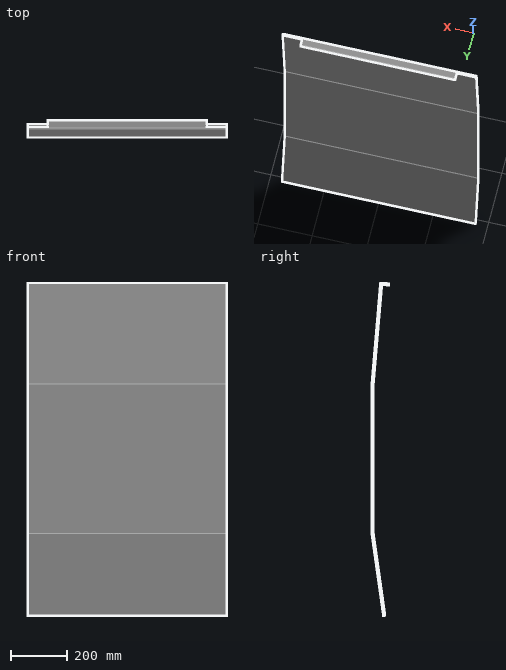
import cadquery as cq
import math

width = 711.0
height = 1189.0
depth = 62.0
thickness = 7.0
lower_bend_z = 294.0
upper_bend_z = 827.0
bottom_setback = 42.0
top_setback = 31.0
lip_inset = 71.0
fold_radius = 4.0
tip_radius = 2.0

front_y = -depth / 2
bottom_y = front_y + bottom_setback
lip_width = width - 2 * lip_inset

lower_angle = math.atan2(bottom_setback, lower_bend_z)
upper_angle = math.atan2(top_setback, height - upper_bend_z)

rounding_loss = math.cos(upper_angle) + math.sin(upper_angle) - 1

sharp_top_z = height + fold_radius * rounding_loss
sharp_top_y = front_y + (sharp_top_z - upper_bend_z) * math.tan(upper_angle)
sharp_tip_y = depth / 2 + tip_radius * rounding_loss

lip_length = (sharp_tip_y - sharp_top_y) / math.cos(upper_angle)
lip_tip_z = sharp_top_z - lip_length * math.sin(upper_angle)


def extrude_across(profile, length):
    """Extrude a closed YZ profile symmetrically about the X centre."""
    return profile.extrude(length / 2, both=True)


def make_panel():
    """Sheet folded back above and below its upright middle panel."""
    lower_shift = thickness * math.tan(lower_angle / 2)
    upper_shift = thickness * math.tan(upper_angle / 2)
    back_y = front_y + thickness
    top_back = (
        sharp_top_y + thickness * math.cos(upper_angle),
        sharp_top_z - thickness * math.sin(upper_angle),
    )
    bottom_back = (
        bottom_y + thickness * math.cos(lower_angle),
        thickness * math.sin(lower_angle),
    )
    profile = (
        cq.Workplane("YZ")
        .moveTo(bottom_y, 0)
        .lineTo(front_y, lower_bend_z)
        .lineTo(front_y, upper_bend_z)
        .lineTo(sharp_top_y, sharp_top_z)
        .lineTo(*top_back)
        .lineTo(back_y, upper_bend_z - upper_shift)
        .lineTo(back_y, lower_bend_z + lower_shift)
        .lineTo(*bottom_back)
        .close()
    )
    return extrude_across(profile, width)


def make_lip():
    """Narrower flange turned back square to the upper panel along its top edge."""
    profile = (
        cq.Workplane("YZ", origin=(0, sharp_top_y, sharp_top_z))
        .transformed(rotate=(0, 0, -math.degrees(upper_angle)))
        .rect(lip_length, -thickness, centered=False)
    )
    return extrude_across(profile, lip_width)


def round_edge(body, y, z, radius):
    """Round the edge that runs along X nearest to the given point."""
    return body.edges("|X").edges(cq.selectors.NearestToPointSelector((0, y, z))).fillet(radius)


result = make_panel().union(make_lip()).clean()
result = round_edge(result, sharp_top_y, sharp_top_z, fold_radius)
result = round_edge(result, sharp_tip_y, lip_tip_z, tip_radius)